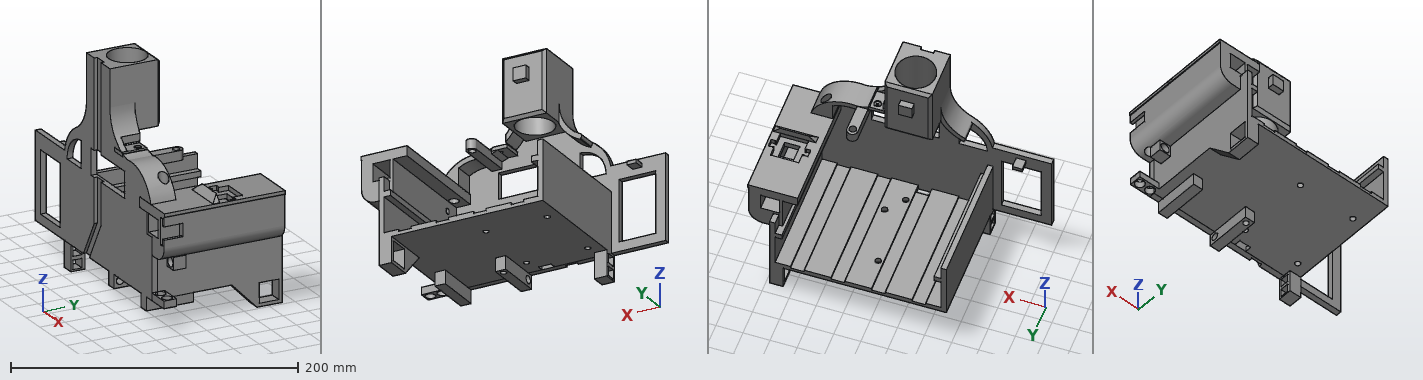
import cadquery as cq
import math


panel_left = -0.4
panel_right = 173.2
panel_thickness = 4.6
panel_low_height = 67.6
hood_depth = 19.7
hood_wall = 4.0
peg_housing_left = 156.0

tower_left = 75.9
tower_width = 35.0
tower_right = tower_left + tower_width
tower_middle = tower_left + tower_width / 2
tower_depth = 40.2
tower_top = 151.8
tower_box_bottom = 102.0
tower_back_chamfer = 2.3
tower_bore = 29.0
tower_bore_y = 22.9

left_flare_radius = 29.5
left_flare_x = tower_left - left_flare_radius
left_flare_z = 116.4
left_flare_end_x = 59.1
left_flare_middle_angle = -32
left_shoulder_middle = (49.4, 81.3)
left_shoulder_start = (43.3, panel_low_height)

right_flare_radius = 30.0
right_flare_x = tower_right + right_flare_radius
right_flare_z = 122.6
right_shoulder_radius = 30.4
right_shoulder_x = panel_right - right_shoulder_radius
shoulder_joint_x = 138.0
flare_flat_ends = (117.6, 124.0)

window_bottom = 62.4
window_height = 20.3
window_left = 82.7
window_length = 50.0
quarter_window_corner_x = 67.8
quarter_window_radius = 20.7
side_window_left = 7.4
side_window_width = 29.2
side_window_bottom = 7.4
side_window_height = 48.1

strip_left = 87.5
strip_width = 9.8
strip_depth = 2.4
strip_left_bend_z = 28.0
strip_right_bend_z = 29.4
strip_slope = math.radians(30)

boss_size = 10.0
boss_length = 4.8
boss_middle_x = 93.5
boss_bottom = 129.0

arm_left = 129.8
arm_width = 8.1
arm_bottom = 85.0
arm_height = 7.5
arm_reach = 44.9
arm_straight_end = 41.6
arm_hole = 5.25
arm_hole_y = 40.0

tab_left, tab_width, tab_length = 18.4, 7.3, 8.2
tab_bottom, tab_height = 60.8, 2.9

leg_lefts = (108.8, 157.0)
leg_width = 8.2
leg_depth = 37.2
leg_height = 10.6
leg_hole = 6.0
leg_hole_y = 4.9
leg_hole_z = -5.2

peg_hole = 7.5
peg_hole_x = 162.4
peg_hole_y = 14.9

pad_left = 117.6
pad_width = 12.2
pad_bottom = 92.5
pad_thickness = 2.9
pad_clearance = 1.1
pad_screw_x = 124.4
pad_counterbore = 5.25
pad_counterbore_depth = 1.0
pad_hole = 2.0

tray_left = 42.7
tray_right = panel_right
tray_middle = (tray_left + tray_right) / 2
tray_back = 103.0
tray_height = 47.4
tray_wall = 4.1
floor_thickness = 4.2
groove_depth = 1.6
groove_width = 10.0
groove_pitch = 29.9
groove_count = 4
rail_width = 5.0
rail_bottom = 31.8
rail_height = 4.4
screw_hole = 4.3
screw_hole_x = (53.1, 101.9)
screw_hole_y = (19.8, 77.8)
drain_hole = 4.5
drain_x, drain_y = 112.9, 33.0
cable_slot_end = 9.7

bracket_length = 18.0
bracket_depth = 10.0
bracket_height = 5.8
bracket_hole_x = (177.2, 186.7)
bracket_hole_y = 4.9
guide_size = 9.8
guide_bottom = 23.7
guide_start = 12.0
guide_hole = 7.5

foot_width = 10.0
foot_height = 20.2
front_foot_depth = 11.2
socket_size = 7.1
socket_y = 1.7
socket_bottoms = (-8.9, -18.8)
back_foot_top_depth = 39.8
back_foot_bottom_depth = 20.0
back_socket_size = 15.3
back_socket_y = 84.8
back_socket_bottom = -17.5

block_left = 155.2
block_right = 191.5
block_back = 95.2
block_top = 71.4
lip_right = panel_left + 192.48
lip_height = 2.8
flange_thickness = 7.8
block_stem_left = 166.3
block_bottom = 33.9
block_round = 11.0
passage_left = 168.6
passage_size = 13.9
passage_bottom = 49.7
recess_diameter = 9.0
recess_x, recess_y = 179.7, 8.7
recess_top = 54.6
side_hole = 4.3
side_hole_y, side_hole_z = 16.9, 55.8

slot_left, slot_width = 186.0, 3.0
slot_bottom, slot_height = 46.2, 20.4
neck_bottom, neck_height = 51.4, 10.0
slot_depth = 15.0

pocket_left, pocket_width = 165.1, 20.9
pocket_front, pocket_length = 43.9, 20.9
pocket_depth = 3.6
well_left, well_width = 170.2, 11.2
well_front, well_length = 48.0, 12.8
ear_outer_width, ear_neck_width = 29.2, 22.8
ear_inner_width = 24.0
ear_middle_y, ear_length, ear_neck_length = 54.4, 6.0, 4.8

ridge_left, ridge_right = 159.8, 191.3
ridge_front, ridge_back = 38.7, 44.0
ridge_height = ridge_back - ridge_front


def rise(radius, offset):
    """Height of a circle over its centre line, at a sideways offset from its centre."""
    return math.sqrt(radius**2 - offset**2)


left_flare_end_z = left_flare_z - rise(left_flare_radius, left_flare_end_x - left_flare_x)
shoulder_joint_z = right_flare_z - rise(right_flare_radius, right_flare_x - shoulder_joint_x)
right_shoulder_z = shoulder_joint_z - rise(right_shoulder_radius, right_shoulder_x - shoulder_joint_x)


def right_flare_point(x):
    """Point of the right flare's arc at a given X."""
    return (x, right_flare_z - rise(right_flare_radius, right_flare_x - x))


def box(x0, x1, y0, y1, z0, z1):
    """A box between two corners."""
    return cq.Workplane("XY").box(x1 - x0, y1 - y0, z1 - z0, centered=False).translate((x0, y0, z0))


def along_x(x, y, z, diameter, length):
    """A cylinder starting at a point and running toward +X."""
    return cq.Workplane("YZ").circle(diameter / 2).extrude(length).translate((x, y, z))


def along_y(x, y, z, diameter, length):
    """A cylinder starting at a point and running toward +Y."""
    return cq.Workplane("XZ").circle(diameter / 2).extrude(-length).translate((x, y, z))


def along_z(x, y, z, diameter, length):
    """A cylinder starting at a point and running toward +Z."""
    return cq.Workplane("XY").circle(diameter / 2).extrude(length).translate((x, y, z))


def hood_band(x, z, inner_radius, outer_radius, x_range, z_range):
    """Part of a ring around an axis along Y, behind the panel, that keeps a curved hood wall."""
    depth = hood_depth - panel_thickness
    ring = along_y(x, panel_thickness, z, 2 * outer_radius, depth)
    ring = ring.cut(along_y(x, panel_thickness, z, 2 * inner_radius, depth))
    return ring.intersect(box(*x_range, panel_thickness, hood_depth, *z_range))


def make_outline():
    """Panel outline with its tower, flares and shoulders, as deep as the hood."""
    shoulder_half = right_shoulder_radius * math.sqrt(0.5)
    flat_left, flat_right = flare_flat_ends
    left_flare_middle = math.radians(left_flare_middle_angle)
    return (
        cq.Workplane("XZ")
        .polyline([(panel_left, 0), (panel_right, 0), (panel_right, right_shoulder_z)])
        .threePointArc(
            (right_shoulder_x + shoulder_half, right_shoulder_z + shoulder_half),
            (shoulder_joint_x, shoulder_joint_z),
        )
        .threePointArc(
            right_flare_point((shoulder_joint_x + flat_right) / 2),
            right_flare_point(flat_right),
        )
        .lineTo(*right_flare_point(flat_left))
        .threePointArc(
            right_flare_point((flat_left + tower_right) / 2),
            (tower_right, right_flare_z),
        )
        .lineTo(tower_right, tower_top)
        .lineTo(tower_left, tower_top)
        .lineTo(tower_left, left_flare_z)
        .threePointArc(
            (
                left_flare_x + left_flare_radius * math.cos(left_flare_middle),
                left_flare_z + left_flare_radius * math.sin(left_flare_middle),
            ),
            (left_flare_end_x, left_flare_end_z),
        )
        .threePointArc(left_shoulder_middle, left_shoulder_start)
        .lineTo(panel_left, panel_low_height)
        .close()
        .extrude(-hood_depth)
    )


def make_windows():
    """Cutters for the three windows: two rectangles and a quarter circle."""
    window = box(
        window_left, window_left + window_length,
        0, panel_thickness,
        window_bottom, window_bottom + window_height,
    )
    side_window = box(
        side_window_left, side_window_left + side_window_width,
        0, panel_thickness,
        side_window_bottom, side_window_bottom + side_window_height,
    )
    quarter = along_y(quarter_window_corner_x, 0, window_bottom, 2 * quarter_window_radius, panel_thickness)
    quarter = quarter.intersect(
        box(panel_left, quarter_window_corner_x, 0, panel_thickness, window_bottom, tower_top)
    )
    return window.union(side_window).union(quarter)


def make_hollow():
    """Space behind the panel between the tower, the curved hood walls and the peg housing."""
    hollow = box(panel_left, panel_right, panel_thickness, hood_depth, 0, tower_top)
    hollow = hollow.cut(
        box(tower_left, tower_right, panel_thickness, hood_depth, tower_box_bottom, tower_top)
    )
    left_flare = hood_band(
        left_flare_x, left_flare_z, left_flare_radius - hood_wall, left_flare_radius + hood_wall,
        (left_flare_end_x, tower_middle), (panel_low_height, left_flare_z),
    )
    end_scale = 1 + hood_wall / 2 / left_flare_radius
    left_end = along_y(
        left_flare_x + end_scale * (left_flare_end_x - left_flare_x),
        panel_thickness,
        left_flare_z + end_scale * (left_flare_end_z - left_flare_z),
        hood_wall,
        hood_depth - panel_thickness,
    )
    right_flare = hood_band(
        right_flare_x, right_flare_z, right_flare_radius - hood_wall, right_flare_radius + hood_wall,
        (tower_middle, shoulder_joint_x), (panel_low_height, right_flare_z),
    )
    shoulder = hood_band(
        right_shoulder_x, right_shoulder_z,
        right_shoulder_radius - hood_wall, right_shoulder_radius + hood_wall,
        (shoulder_joint_x, panel_right), (block_top, right_flare_z),
    )
    housing = box(
        peg_housing_left, panel_right, panel_thickness, hood_depth, block_top, right_flare_z
    )
    return hollow.cut(left_flare).cut(left_end).cut(right_flare).cut(shoulder).cut(housing)


def make_tower():
    """Square tower with a chamfered back and a small boss on it."""
    tower = box(tower_left, tower_right, 0, tower_depth, tower_box_bottom, tower_top)
    tower = tower.faces(">Y").chamfer(tower_back_chamfer)
    boss = box(
        boss_middle_x - boss_size / 2, boss_middle_x + boss_size / 2,
        tower_depth, tower_depth + boss_length,
        boss_bottom, boss_bottom + boss_size,
    )
    return tower.union(boss)


def make_strip():
    """Cutter for the shallow strip down the panel, which slants to the left at its lower end."""
    shift = strip_left_bend_z * math.tan(strip_slope)
    right_bottom = strip_left + strip_width - strip_right_bend_z * math.tan(strip_slope)
    return (
        cq.Workplane("XZ")
        .polyline(
            [
                (strip_left - shift, 0),
                (right_bottom, 0),
                (strip_left + strip_width, strip_right_bend_z),
                (strip_left + strip_width, tower_top),
                (strip_left, tower_top),
                (strip_left, strip_left_bend_z),
            ]
        )
        .close()
        .extrude(-strip_depth)
    )


def make_arm():
    """Round-ended arm with a hole, reaching back from the panel."""
    arm = (
        cq.Workplane("XY")
        .moveTo(arm_left, 0)
        .lineTo(arm_left + arm_width, 0)
        .lineTo(arm_left + arm_width, arm_straight_end)
        .threePointArc((arm_left + arm_width / 2, arm_reach), (arm_left, arm_straight_end))
        .close()
        .extrude(arm_height)
        .translate((0, 0, arm_bottom))
    )
    return arm.cut(along_z(arm_left + arm_width / 2, arm_hole_y, arm_bottom, arm_hole, arm_height))


def make_leg(left):
    """Leg below the panel that carries the tray."""
    return box(left, left + leg_width, 0, leg_depth, -leg_height, 0)


def make_pad_space():
    """The screw pad's slot in the panel and hood, and the open pocket above it."""
    top = pad_bottom + pad_thickness
    pocket = box(
        pad_left + pad_clearance, pad_left + pad_width - pad_clearance,
        panel_thickness, hood_depth, top, right_flare_z,
    )
    slot = box(pad_left, pad_left + pad_width, 0, hood_depth, pad_bottom, top)
    return slot.union(pocket)


def make_panel():
    """Panel, hood, tower, arm, tab and legs as one body, with room for the latch block and pad."""
    panel = make_outline().cut(make_hollow()).union(make_tower()).union(make_arm())
    panel = panel.cut(make_windows())
    panel = panel.union(
        box(
            tab_left, tab_left + tab_width,
            panel_thickness, panel_thickness + tab_length,
            tab_bottom, tab_bottom + tab_height,
        )
    )
    for left in leg_lefts:
        panel = panel.union(make_leg(left))
    panel = panel.cut(along_x(leg_lefts[0], leg_hole_y, leg_hole_z, leg_hole, leg_width))
    panel = panel.cut(along_z(tower_middle, tower_bore_y, window_bottom, tower_bore, tower_top))
    panel = panel.cut(along_z(drain_x, drain_y, -leg_height, drain_hole, leg_height))
    panel = panel.cut(make_strip())
    panel = panel.cut(along_z(peg_hole_x, peg_hole_y, block_top, peg_hole, tower_top - block_top))
    return panel.cut(make_pad_space()).cut(make_block_envelope())


def make_pad():
    """Small plate with a bevelled upper right edge and a screw hole, flush with the panel's front."""
    top = pad_bottom + pad_thickness
    pad = box(pad_left, pad_left + pad_width, 0, hood_depth, pad_bottom, top)
    pad = pad.edges(">X and >Z").chamfer(pad_clearance)
    pad = pad.cut(along_z(pad_screw_x, peg_hole_y, pad_bottom, pad_hole, pad_thickness))
    counterbore_bottom = top - pad_counterbore_depth
    return pad.cut(
        along_z(pad_screw_x, peg_hole_y, counterbore_bottom, pad_counterbore, pad_counterbore_depth)
    )


def make_back_foot():
    """Back foot with a slanted front and a square socket through it."""
    left = tray_right - foot_width
    foot = (
        cq.Workplane("YZ")
        .polyline(
            [
                (tray_back, 0),
                (tray_back - back_foot_top_depth, 0),
                (tray_back - back_foot_bottom_depth, -foot_height),
                (tray_back, -foot_height),
            ]
        )
        .close()
        .extrude(foot_width)
        .translate((left, 0, 0))
    )
    socket = box(
        left, left + foot_width,
        back_socket_y, back_socket_y + back_socket_size,
        back_socket_bottom, back_socket_bottom + back_socket_size,
    )
    return foot.cut(socket)


def make_front_foot():
    """Front foot with two square sockets, one above the other."""
    foot = box(tray_left, tray_left + foot_width, 0, front_foot_depth, -foot_height, 0)
    for bottom in socket_bottoms:
        foot = foot.cut(
            box(
                tray_left, tray_left + foot_width,
                socket_y, socket_y + socket_size,
                bottom, bottom + socket_size,
            )
        )
    return foot


def make_tray():
    """Open tray with grooved floor, side walls with rails, right-hand brackets and two feet."""
    tray = box(tray_left, tray_right, panel_thickness, tray_back, 0, tray_height)
    inner_left = tray_left + tray_wall
    inner_right = tray_right - tray_wall
    tray = tray.cut(box(inner_left, inner_right, panel_thickness, tray_back, floor_thickness, tray_height))

    for start in (inner_left, inner_right - rail_width):
        tray = tray.union(
            box(
                start, start + rail_width,
                panel_thickness, tray_back,
                rail_bottom, rail_bottom + rail_height,
            )
        )

    for index in range(groove_count):
        middle = tray_middle + (index - (groove_count - 1) / 2) * groove_pitch
        tray = tray.cut(
            box(
                middle - groove_width / 2, middle + groove_width / 2,
                panel_thickness, tray_back,
                floor_thickness - groove_depth, floor_thickness,
            )
        )

    for x in screw_hole_x:
        for y in screw_hole_y:
            tray = tray.cut(along_z(x, y, 0, screw_hole, floor_thickness))
    tray = tray.cut(along_z(drain_x, drain_y, 0, drain_hole, floor_thickness))
    cable_middle = tray_middle - groove_pitch / 2
    tray = tray.cut(
        box(
            cable_middle - groove_width / 2, cable_middle + groove_width / 2,
            panel_thickness, cable_slot_end,
            0, floor_thickness,
        )
    )

    tray = tray.union(
        box(tray_right, tray_right + bracket_length, 0, bracket_depth, 0, bracket_height)
    )
    for x in bracket_hole_x:
        tray = tray.cut(along_z(x, bracket_hole_y, 0, peg_hole, bracket_height))

    guide = box(
        tray_right, tray_right + guide_size,
        guide_start, guide_start + guide_size,
        guide_bottom, guide_bottom + guide_size,
    )
    guide_middle = guide_size / 2
    guide = guide.cut(
        along_y(tray_right + guide_middle, guide_start, guide_bottom + guide_middle, guide_hole, guide_size)
    )
    return tray.union(guide).union(make_front_foot()).union(make_back_foot())


def make_block_envelope():
    """Outer shape of the latch block: a flange over a stem with a rounded outer corner."""
    flange_bottom = block_top - flange_thickness
    lip_bottom = block_top - lip_height
    round_x = block_right - block_round
    round_z = block_bottom + block_round
    half = block_round * math.sqrt(0.5)
    return (
        cq.Workplane("XZ")
        .polyline(
            [
                (panel_right, block_bottom),
                (panel_right, tray_height),
                (block_stem_left, tray_height),
                (block_stem_left, flange_bottom),
                (block_left, flange_bottom),
                (block_left, block_top),
                (lip_right, block_top),
                (lip_right, lip_bottom),
                (block_right, lip_bottom),
                (block_right, round_z),
            ]
        )
        .threePointArc((round_x + half, round_z - half), (round_x, block_bottom))
        .close()
        .extrude(-block_back)
    )


def make_slot():
    """Cutter for the side slot: a tall channel with a narrower mouth to the right."""
    channel = box(
        slot_left, slot_left + slot_width, 0, slot_depth, slot_bottom, slot_bottom + slot_height
    )
    mouth = box(
        slot_left + slot_width, lip_right, 0, slot_depth, neck_bottom, neck_bottom + neck_height
    )
    return channel.union(mouth)


def make_pocket():
    """Cutter for the top pocket, its two ears and the well that opens into the passage."""
    bottom = block_top - pocket_depth
    middle = pocket_left + pocket_width / 2
    pocket = box(
        pocket_left, pocket_left + pocket_width,
        pocket_front, pocket_front + pocket_length,
        bottom, block_top,
    )
    necks = box(
        middle - ear_inner_width / 2, middle + ear_inner_width / 2,
        ear_middle_y - ear_neck_length / 2, ear_middle_y + ear_neck_length / 2,
        bottom, block_top,
    )
    pocket = pocket.union(necks)
    ear_width = (ear_outer_width - ear_neck_width) / 2
    for start in (middle - ear_outer_width / 2, middle + ear_neck_width / 2):
        pocket = pocket.union(
            box(
                start, start + ear_width,
                ear_middle_y - ear_length / 2, ear_middle_y + ear_length / 2,
                bottom, block_top,
            )
        )
    well = box(
        well_left, well_left + well_width,
        well_front, well_front + well_length,
        passage_bottom + passage_size, block_top,
    )
    return pocket.union(well)


def make_ridge():
    """Catch ridge with a sloped front, an upright back and ends cut back at the same slope."""
    profile = [(ridge_front, block_top), (ridge_back, block_top), (ridge_back, block_top + ridge_height)]
    ridge = cq.Workplane("YZ").polyline(profile).close().extrude(ridge_right - ridge_left)
    ridge = ridge.translate((ridge_left, 0, 0))
    ends = (
        cq.Workplane("XZ")
        .polyline(
            [
                (ridge_left, block_top),
                (ridge_right, block_top),
                (ridge_right - ridge_height, block_top + ridge_height),
                (ridge_left + ridge_height, block_top + ridge_height),
            ]
        )
        .close()
        .extrude(-block_back)
    )
    return ridge.intersect(ends)


def make_block():
    """Latch block on the tray's right wall, hooked over the wall and resting on its rail."""
    block = make_block_envelope()
    hook = box(
        block_stem_left, tray_right - tray_wall,
        panel_thickness, block_back,
        rail_bottom + rail_height, tray_height,
    )
    block = block.union(hook).union(make_ridge())
    passage = box(
        passage_left, passage_left + passage_size,
        0, block_back,
        passage_bottom, passage_bottom + passage_size,
    )
    recess = along_z(recess_x, recess_y, block_bottom, recess_diameter, recess_top - block_bottom)
    block = block.cut(passage).cut(recess).cut(make_slot()).cut(make_pocket())
    block = block.cut(
        along_x(block_stem_left, side_hole_y, side_hole_z, side_hole, passage_left - block_stem_left)
    )
    flange_bottom = block_top - flange_thickness
    return block.cut(along_z(peg_hole_x, peg_hole_y, flange_bottom, peg_hole, flange_thickness))


panel = make_panel()
pad = make_pad()
tray = make_tray()
block = make_block()

result = cq.Compound.makeCompound(
    [panel.solids().val(), pad.solids().val(), tray.solids().val(), block.solids().val()]
)